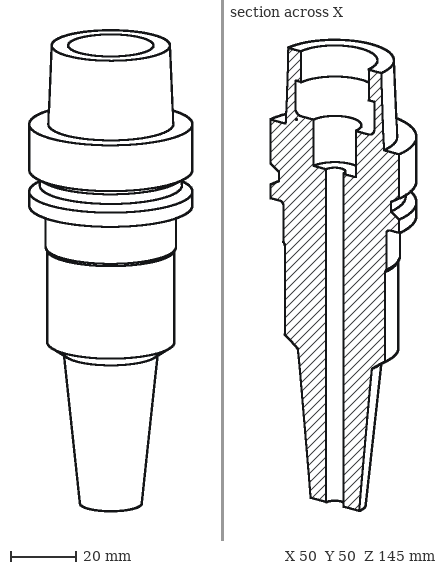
import cadquery as cq

LENGTH = 145.0
SHANK_BASE_Z = 120.0
SHANK_TOP_DIAMETER = 36.2
SHANK_BASE_DIAMETER = 38.3

FLANGE_DIAMETER = 50.0
FLANGE_BOTTOM_Z = 94.2
GROOVE_DIAMETER = 43.5
GROOVE_FLOOR_BOTTOM_Z = 100.6
GROOVE_FLOOR_TOP_Z = 103.7
GROOVE_FLANK_HEIGHT = 1.9

COLLAR_DIAMETER = 40.0
COLLAR_BOTTOM_Z = 80.3
COLLAR_FILLET = 1.3
BODY_DIAMETER = 39.0
COLLAR_CHAMFER_HEIGHT = 0.9
BODY_BOTTOM_Z = 51.0
NOSE_TOP_Z = 47.5
NOSE_TOP_DIAMETER = 28.9
NOSE_TIP_DIAMETER = 19.0

SOCKET_DIAMETER = 26.1
UNDERCUT_DIAMETER = 30.5
UNDERCUT_TOP_DEPTH = 10.2
SOCKET_DEPTH = 21.2
SOCKET_FLOOR_FILLET = 2.2
MIDDLE_BORE_DIAMETER = 16.2
MIDDLE_BORE_DEPTH = 36.2
THROUGH_BORE_DIAMETER = 6.5


def make_outer_body():
    """Revolve the outer half profile about the Z axis."""
    flange_radius = FLANGE_DIAMETER / 2
    groove_radius = GROOVE_DIAMETER / 2
    collar_radius = COLLAR_DIAMETER / 2
    body_radius = BODY_DIAMETER / 2
    profile = (
        cq.Workplane("XZ")
        .lineTo(NOSE_TIP_DIAMETER / 2, 0)
        .lineTo(NOSE_TOP_DIAMETER / 2, NOSE_TOP_Z)
        .lineTo(body_radius, BODY_BOTTOM_Z)
        .lineTo(body_radius, COLLAR_BOTTOM_Z)
        .lineTo(collar_radius, COLLAR_BOTTOM_Z + COLLAR_CHAMFER_HEIGHT)
        .lineTo(collar_radius, FLANGE_BOTTOM_Z - COLLAR_FILLET)
        .radiusArc((collar_radius + COLLAR_FILLET, FLANGE_BOTTOM_Z), COLLAR_FILLET)
        .lineTo(flange_radius, FLANGE_BOTTOM_Z)
        .lineTo(flange_radius, GROOVE_FLOOR_BOTTOM_Z - GROOVE_FLANK_HEIGHT)
        .lineTo(groove_radius, GROOVE_FLOOR_BOTTOM_Z)
        .lineTo(groove_radius, GROOVE_FLOOR_TOP_Z)
        .lineTo(flange_radius, GROOVE_FLOOR_TOP_Z + GROOVE_FLANK_HEIGHT)
        .lineTo(flange_radius, SHANK_BASE_Z)
        .lineTo(SHANK_BASE_DIAMETER / 2, SHANK_BASE_Z)
        .lineTo(SHANK_TOP_DIAMETER / 2, LENGTH)
        .lineTo(0, LENGTH)
        .close()
    )
    return profile.revolve(360, (0, 0, 0), (0, 1, 0))


def make_bore(diameter, depth):
    """Make a round cutter that reaches down from the top face."""
    return cq.Workplane("XY").workplane(offset=LENGTH - depth).circle(diameter / 2).extrude(depth)


def make_socket():
    """Make the clamping socket: a lip, a wider undercut and a floor with a rounded edge."""
    lip_radius = SOCKET_DIAMETER / 2
    undercut_radius = UNDERCUT_DIAMETER / 2
    floor_z = LENGTH - SOCKET_DEPTH
    profile = (
        cq.Workplane("XZ")
        .moveTo(0, LENGTH)
        .lineTo(lip_radius, LENGTH)
        .lineTo(lip_radius, LENGTH - UNDERCUT_TOP_DEPTH)
        .lineTo(undercut_radius, LENGTH - UNDERCUT_TOP_DEPTH)
        .lineTo(undercut_radius, floor_z + SOCKET_FLOOR_FILLET)
        .radiusArc((undercut_radius - SOCKET_FLOOR_FILLET, floor_z), SOCKET_FLOOR_FILLET)
        .lineTo(0, floor_z)
        .close()
    )
    return profile.revolve(360, (0, 0, 0), (0, 1, 0))


result = (
    make_outer_body()
    .cut(make_socket())
    .cut(make_bore(MIDDLE_BORE_DIAMETER, MIDDLE_BORE_DEPTH))
    .cut(make_bore(THROUGH_BORE_DIAMETER, LENGTH))
)